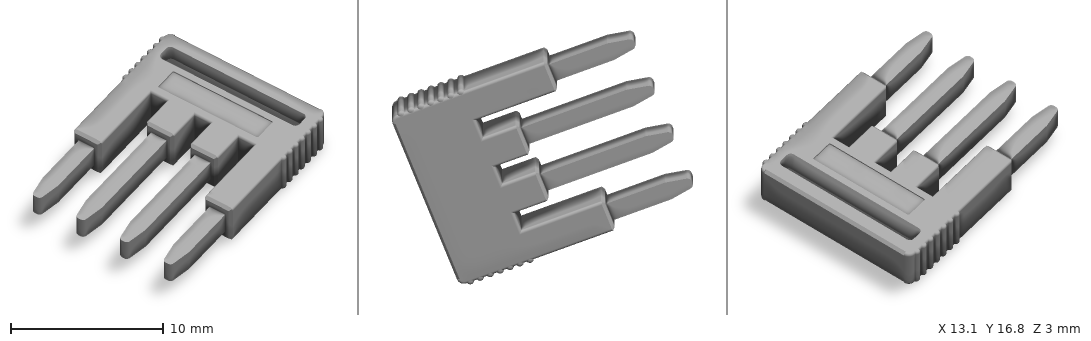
import cadquery as cq

thickness = 3.0
pitch = 3.5
leg_count = 4
leg_width = 2.2
edge_radius = 0.2
edge_bevel = 0.2
back_corner_radius = 0.5
notch_y = -5.2
outer_leg_y = -11.0
inner_leg_y = -7.7

ridge_count = 7
ridge_pitch = 0.7
ridge_radius = 0.25
first_ridge_y = -0.78
overall_width = 13.05

pin_width = 1.25
pin_thickness = 1.6
pin_taper_y = -15.12
pin_tip_y = -16.8
pin_tip_width = 0.66
pin_tip_radius = 0.3

pocket_length = 11.1
pocket_back_y = -1.1
pocket_front_y = -2.36
pocket_depth = 0.95
pocket_wall_run = 0.12
pocket_front_run = 0.45
pocket_corner_radius = 0.33

panel_length = 8.0
panel_back_y = -2.84
panel_front_y = -4.6
panel_depth = 0.1
panel_corner_radius = 0.1

top_z = thickness / 2
leg_centers = [pitch * (i - (leg_count - 1) / 2) for i in range(leg_count)]
leg_ends = [outer_leg_y] + [inner_leg_y] * (leg_count - 2) + [outer_leg_y]
housing_width = pitch * (leg_count - 1) + leg_width
ridge_x = overall_width / 2 - ridge_radius


def block(width, y_back, y_front, height, x_center=0.0):
    """Box between two Y positions, centred on Z = 0."""
    length = y_back - y_front
    center = (x_center, (y_back + y_front) / 2, 0)
    return cq.Workplane("XY").box(width, length, height).translate(center)


def make_leg_end_trim(x, y_end):
    """Material outside the four-sided taper that bevels the end of a leg."""
    zone_width = leg_width + 2 * edge_bevel
    zone_height = thickness + 2 * edge_bevel
    zone = block(zone_width, y_end + edge_bevel, y_end, zone_height, x)
    taper = (
        cq.Workplane("XZ", origin=(x, y_end + edge_bevel, 0))
        .rect(leg_width, thickness)
        .workplane(offset=edge_bevel)
        .rect(leg_width - 2 * edge_bevel, thickness - 2 * edge_bevel)
        .loft(ruled=True)
    )
    return zone.cut(taper)


def make_back_trim():
    """Upper triangular bar that bevels the straight stretch of the back edge."""
    length = housing_width - 2 * back_corner_radius
    return (
        cq.Workplane("YZ")
        .moveTo(0, top_z - edge_bevel)
        .lineTo(0, top_z)
        .lineTo(-edge_bevel, top_z)
        .close()
        .extrude(length / 2, both=True)
    )


def make_housing():
    """Comb with rounded outline edges, bevelled leg ends and bevelled back."""
    comb = block(housing_width, 0, notch_y, thickness)
    for x, y_end in zip(leg_centers, leg_ends):
        comb = comb.union(block(leg_width, 0, y_end, thickness, x))
    comb = comb.clean()
    comb = comb.edges("|Z and >Y").fillet(back_corner_radius)

    face_edges = comb.faces("<Z or >Z").edges()
    leg_end_edges = []
    for edge in face_edges.vals():
        box = edge.BoundingBox()
        if box.ymax < notch_y - edge_bevel and box.ylen < edge_bevel:
            leg_end_edges.append(edge)
    rounded_edges = [e for e in face_edges.vals() if e not in leg_end_edges]
    comb = comb.newObject(rounded_edges).fillet(edge_radius)

    for x, y_end in zip(leg_centers, leg_ends):
        comb = comb.cut(make_leg_end_trim(x, y_end))
    back_trim = make_back_trim()
    return comb.cut(back_trim).cut(back_trim.mirror("XY"))


def make_ridge(x, y):
    """Upright round bar with rounded ends."""
    bar = cq.Workplane("XY").circle(ridge_radius).extrude(thickness)
    bar = bar.faces("<Z or >Z").edges().fillet(edge_radius)
    return bar.translate((x, y, -thickness / 2))


def make_pin(x, y_leg_end):
    """Flat pin starting at a leg end, tapered to a rounded tip."""
    outline = [
        (-pin_width / 2, y_leg_end),
        (-pin_width / 2, pin_taper_y),
        (-pin_tip_width / 2, pin_tip_y),
        (pin_tip_width / 2, pin_tip_y),
        (pin_width / 2, pin_taper_y),
        (pin_width / 2, y_leg_end),
    ]
    pin = cq.Workplane("XY").polyline(outline).close()
    pin = pin.extrude(pin_thickness / 2, both=True)
    pin = pin.edges("|Z and <Y").fillet(pin_tip_radius)
    return pin.translate((x, 0, 0))


def make_pocket():
    """Pocket volume: a rectangle at the top shrinking to a smaller floor."""
    rim_width = pocket_back_y - pocket_front_y
    floor_length = pocket_length - 2 * pocket_wall_run
    floor_width = rim_width - pocket_wall_run - pocket_front_run
    floor_shift = (pocket_front_run - pocket_wall_run) / 2
    rim_y = (pocket_back_y + pocket_front_y) / 2
    pocket = (
        cq.Workplane("XY", origin=(0, rim_y, top_z))
        .rect(pocket_length, rim_width)
        .workplane(offset=-pocket_depth)
        .center(0, floor_shift)
        .rect(floor_length, floor_width)
        .loft(ruled=True)
    )
    wall_corners = pocket.edges("not(#Z)")
    return wall_corners.fillet(pocket_corner_radius)


def make_panel():
    """Label panel recess with rounded corners."""
    panel = block(panel_length, panel_back_y, panel_front_y, panel_depth)
    panel = panel.edges("|Z").fillet(panel_corner_radius)
    return panel.translate((0, 0, top_z - panel_depth / 2))


result = make_housing()
for side in (-1, 1):
    for i in range(ridge_count):
        result = result.union(make_ridge(side * ridge_x, first_ridge_y - i * ridge_pitch))
for leg_x, leg_y in zip(leg_centers, leg_ends):
    result = result.union(make_pin(leg_x, leg_y))
result = result.cut(make_pocket()).cut(make_panel())